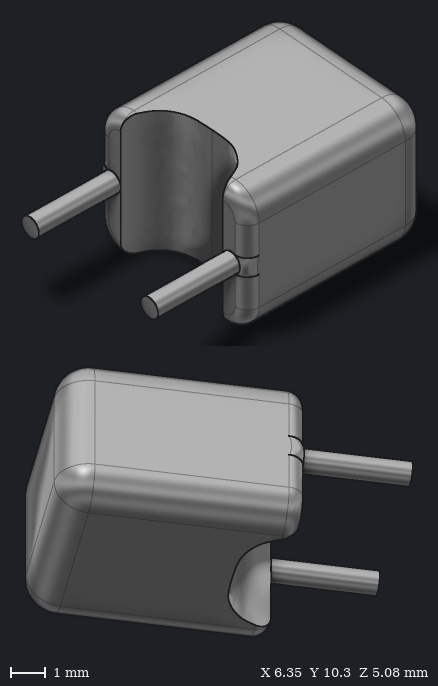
import cadquery as cq
import math

WIDTH = 6.35
HEIGHT = 5.08
TOTAL_LENGTH = 10.35
LEAD_LENGTH = 3.18
HOUSING_LENGTH = TOTAL_LENGTH - LEAD_LENGTH
BODY_ROUND = 1.0
FRONT_ROUND = 0.5

LEAD_DIAMETER = 0.75
LEAD_RADIUS = LEAD_DIAMETER / 2
LEAD_PITCH = 5.08
LEAD_X = LEAD_PITCH / 2

NOTCH_HALF_WIDTH = 2.17
NOTCH_DEPTH = 1.55
NOTCH_SIDE = [(1.98, 0.52), (1.71, 0.99), (1.16, 1.4)]
NOTCH_MOUTH_SLOPE = 2.7

SWELL_BACK_SHIFT = 0.07
SWELL_ROOT_X = LEAD_X
SWELL_STEPS = 3


def make_notch():
    half = [(NOTCH_HALF_WIDTH, 0)] + NOTCH_SIDE + [(0, NOTCH_DEPTH)]
    other_half = [(-x, y) for x, y in reversed(half)]
    return (
        cq.Workplane("XY")
        .workplane(offset=-HEIGHT / 2)
        .moveTo(*half[0])
        .spline(half[1:], tangents=[(-1, NOTCH_MOUTH_SLOPE), (-1, 0)], includeCurrent=True)
        .spline(other_half[1:], tangents=[(-1, 0), (-1, -NOTCH_MOUTH_SLOPE)], includeCurrent=True)
        .close()
        .extrude(HEIGHT)
    )


def swell_section(z):
    """Section at height z, rounded by a quarter ellipse from the side to the lead's outline."""
    outer_x = WIDTH / 2
    edge_x = LEAD_X + math.sqrt(LEAD_RADIUS**2 - z**2)
    back_y = FRONT_ROUND - SWELL_BACK_SHIFT * (1 - (z / LEAD_RADIUS) ** 2)
    diagonal = math.sqrt(0.5)
    middle = (edge_x + (outer_x - edge_x) * diagonal, back_y * (1 - diagonal))
    section = (
        cq.Workplane("XY")
        .workplane(offset=z)
        .moveTo(SWELL_ROOT_X, 0)
        .lineTo(edge_x, 0)
        .spline([middle, (outer_x, back_y)], tangents=[(1, 0), (0, 1)], includeCurrent=True)
        .lineTo(outer_x, FRONT_ROUND + SWELL_BACK_SHIFT)
        .lineTo(SWELL_ROOT_X, FRONT_ROUND + SWELL_BACK_SHIFT)
        .close()
    )
    return section.val()


def make_swell():
    front_edge_x = WIDTH / 2 - FRONT_ROUND
    half_height = math.sqrt(LEAD_RADIUS**2 - (front_edge_x - LEAD_X) ** 2)
    steps = range(-SWELL_STEPS, SWELL_STEPS + 1)
    sections = [swell_section(half_height * step / SWELL_STEPS) for step in steps]
    return cq.Workplane(cq.Solid.makeLoft(sections))


def make_housing():
    housing = (
        cq.Workplane("XY")
        .box(WIDTH, HOUSING_LENGTH, HEIGHT, centered=(True, False, True))
        .edges("|Y or >Y")
        .fillet(BODY_ROUND)
        .faces("<Y")
        .edges()
        .fillet(FRONT_ROUND)
    )
    swell = make_swell()
    return housing.union(swell).union(swell.mirror("YZ")).cut(make_notch()).solids()


def make_lead(x):
    return cq.Workplane("XZ").center(x, 0).circle(LEAD_RADIUS).extrude(LEAD_LENGTH)


housing = make_housing()
leads = [make_lead(side * LEAD_X) for side in (-1, 1)]

result = cq.Compound.makeCompound([housing.val(), *[lead.val() for lead in leads]])